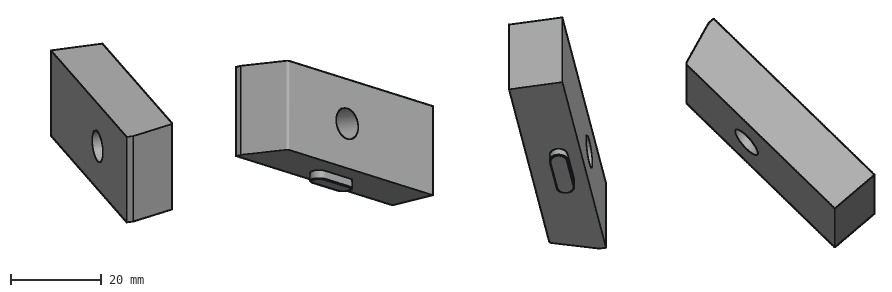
import cadquery as cq
import math

block_length = 52.0
block_depth = 12.0
block_height = 20.5
end_land = 1.5
end_slant = 20.0
corner_radius = 0.8

hole_diameter = 7.0
hole_x = 32.0
hole_slant = 16.0

key_length = 12.0
key_width = 4.0
key_height = 2.05
key_chamfer = 0.2
key_x = block_length / 2
key_y = 5.0


def make_block():
    slant_run = (block_depth - end_land) * math.tan(math.radians(end_slant))
    back_length = block_length - slant_run
    body = (
        cq.Workplane("XY")
        .moveTo(0, 0)
        .lineTo(block_length, 0)
        .lineTo(block_length, end_land)
        .lineTo(back_length, block_depth)
        .lineTo(0, block_depth)
        .close()
        .extrude(block_height)
    )
    back_corner = cq.selectors.NearestToPointSelector((back_length, block_depth, block_height / 2))
    body = body.edges("|Z").edges(back_corner).fillet(corner_radius)
    return body.cut(make_hole_cutter())


def make_hole_cutter():
    angle = math.radians(hole_slant)
    axis = cq.Vector(-math.sin(angle), math.cos(angle), 0)
    front_centre = cq.Vector(hole_x, 0, block_height / 2)
    start = front_centre - axis * block_depth
    cutter_length = 3 * block_depth
    return cq.Workplane(cq.Solid.makeCylinder(hole_diameter / 2, cutter_length, start, axis))


def make_key():
    return (
        cq.Workplane("XY")
        .center(key_x, key_y)
        .slot2D(key_length, key_width)
        .extrude(-key_height)
        .faces("<Z")
        .chamfer(key_chamfer)
    )


block = make_block()
key = make_key()

result = cq.Compound.makeCompound([block.solids().val(), key.solids().val()])